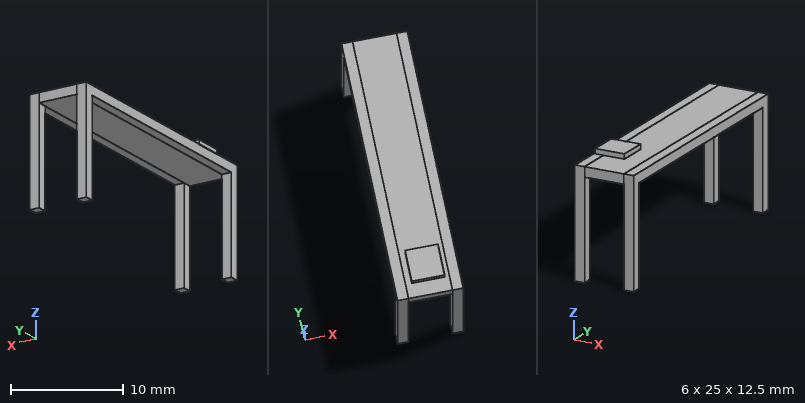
import cadquery as cq

table_length = 25.0
table_width = 6.0
table_height = 11.0
bar_size = 1.0

deck_width = table_width - 2 * bar_size
deck_thickness = bar_size

pad_side = 3.0
pad_thickness = 0.5
pad_gap = 1.0
pad_end_inset = 1.0


def box_from_base(width, length, height, center_x, start_y, base_z):
    """Box centred on center_x, running up from base_z and along +Y from start_y."""
    return (
        cq.Workplane("XY")
        .box(width, length, height, centered=(True, False, False))
        .translate((center_x, start_y, base_z))
    )


def make_side_frame(center_x):
    """Rail with a leg at each end, as one upside-down U."""
    frame = box_from_base(bar_size, table_length, table_height, center_x, -table_length / 2, 0)
    opening = box_from_base(
        bar_size,
        table_length - 2 * bar_size,
        table_height - bar_size,
        center_x,
        -table_length / 2 + bar_size,
        0,
    )
    return frame.cut(opening)


def make_deck():
    """Flat board filling the space between the rails, flush with their tops."""
    return box_from_base(
        deck_width, table_length, deck_thickness, 0, -table_length / 2, table_height - deck_thickness
    )


def make_pad():
    """Thin square plate held clear of the deck."""
    return box_from_base(
        pad_side, pad_side, pad_thickness, 0, -table_length / 2 + pad_end_inset, table_height + pad_gap
    )


frame_offset = (table_width - bar_size) / 2
side_frames = [make_side_frame(side * frame_offset) for side in (-1, 1)]
deck = make_deck()
pad = make_pad()

result = cq.Compound.makeCompound([*[frame.val() for frame in side_frames], deck.val(), pad.val()])